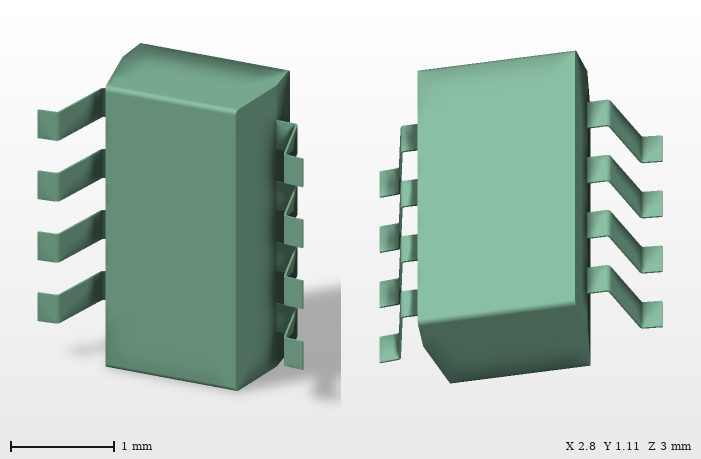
import cadquery as cq
import math

body_length = 3.0
body_depth = 1.1
parting_width = 1.625
front_width = 1.38
back_width = 1.56
parting_to_back = 0.4
end_edge_radius = 0.05
side_edge_radius = 0.012

leads_per_side = 4
first_to_last_lead = 1.95
lead_pitch = first_to_last_lead / (leads_per_side - 1)
lead_width = 0.3
lead_thickness = 0.02
lead_span = 2.8
overall_depth = 1.11
inner_bend_radius = 0.025
outer_bend_radius = inner_bend_radius + lead_thickness
shoulder_to_back = 0.395
shoulder_bend_x = 1.025
foot_bend_x = 1.197
foot_angle = math.radians(5)
embed_depth = 0.06

parting_y = body_depth - parting_to_back
shoulder_y = body_depth - shoulder_to_back
lead_bottom_y = body_depth - overall_depth


def make_body():
    section = [
        (-front_width / 2, 0),
        (front_width / 2, 0),
        (parting_width / 2, parting_y),
        (back_width / 2, body_depth),
        (-back_width / 2, body_depth),
        (-parting_width / 2, parting_y),
    ]
    block = cq.Workplane("XY").polyline(section).close().extrude(body_length / 2, both=True)
    block = block.faces("<Y").edges("|Z").fillet(side_edge_radius)

    envelope = (
        cq.Workplane("XY")
        .box(parting_width, body_depth, body_length)
        .edges("|X")
        .fillet(end_edge_radius)
        .translate((0, body_depth / 2, 0))
    )
    return block.intersect(envelope)


def make_lead():
    """One lead on the +X side, centred on Z = 0: shoulder, sloping leg and foot."""
    half = lead_thickness / 2
    tip_x = lead_span / 2 - half * math.sin(foot_angle)
    tip_y = lead_bottom_y + half * math.cos(foot_angle)
    foot_bend_y = tip_y + (tip_x - foot_bend_x) * math.tan(foot_angle)
    leg_angle = math.atan2(shoulder_y - foot_bend_y, foot_bend_x - shoulder_bend_x)

    corners = [
        (parting_width / 2 - embed_depth, shoulder_y, 0, 0),
        (shoulder_bend_x, shoulder_y, 0, leg_angle),
        (foot_bend_x, foot_bend_y, leg_angle, foot_angle),
        (tip_x, tip_y, foot_angle, foot_angle),
    ]
    upper = []
    lower = []
    for x, y, slope_before, slope_after in corners:
        mean_slope = (slope_before + slope_after) / 2
        reach = half / math.cos((slope_after - slope_before) / 2)
        dx = reach * math.sin(mean_slope)
        dy = reach * math.cos(mean_slope)
        upper.append((x + dx, y + dy))
        lower.append((x - dx, y - dy))

    strip = cq.Workplane("XY").polyline(upper + lower[::-1]).close().extrude(lead_width / 2, both=True)

    def round_bend(part, corner, radius):
        edge = part.edges(cq.selectors.NearestToPointSelector((corner[0], corner[1], 0)))
        return edge.fillet(radius)

    strip = round_bend(strip, upper[1], outer_bend_radius)
    strip = round_bend(strip, lower[1], inner_bend_radius)
    strip = round_bend(strip, upper[2], inner_bend_radius)
    return round_bend(strip, lower[2], outer_bend_radius)


result = make_body()
right_lead = make_lead()
left_lead = right_lead.mirror("YZ")
for index in range(leads_per_side):
    lead_z = index * lead_pitch - first_to_last_lead / 2
    for lead in (right_lead, left_lead):
        result = result.union(lead.translate((0, 0, lead_z)))